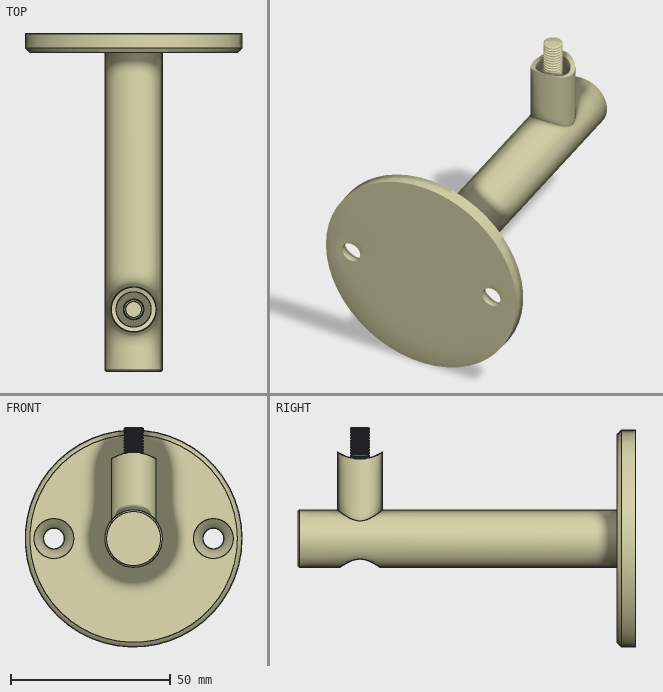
import cadquery as cq


PLATE_DIAMETER = 68.0
PLATE_THICKNESS = 5.9
PLATE_CHAMFER = 1.5
MOUNT_HOLE_SPACING = 50.0
MOUNT_HOLE_DIAMETER = 6.5
COUNTERSINK_DIAMETER = 12.5
COUNTERSINK_LIP = 1.0

REACH = 106.0
BAR_DIAMETER = 18.0
BAR_END_CHAMFER = 0.5
POST_SEAT_DIAMETER = 14.2
ACCESS_HOLE_DIAMETER = 12.5

POST_Y = -86.5
POST_DIAMETER = 14.0
POST_BORE_DIAMETER = 11.0
POST_BOTTOM_Z = 0.0
SADDLE_DIAMETER = 25.4
SADDLE_BOTTOM_Z = 25.0

SHANK_DIAMETER = 6.5
THREAD_DIAMETER = 6.0
THREAD_ROOT_DIAMETER = 5.0
STUD_TOP_Z = 34.9
THREAD_PITCH = 1.0
THREAD_COUNT = 25
THREAD_CREST = 0.3

thread_flank = (THREAD_PITCH - THREAD_CREST) / 2
post_bore_floor_z = STUD_TOP_Z - THREAD_COUNT * THREAD_PITCH


def y_cylinder(diameter, y_start, y_end):
    """Cylinder on the bar axis, running toward -Y."""
    return (
        cq.Workplane("XZ", origin=(0, y_start, 0))
        .circle(diameter / 2)
        .extrude(y_start - y_end)
    )


def post_cylinder(diameter, z_bottom, z_top):
    """Cylinder along Z on the post axis."""
    return (
        cq.Workplane("XY", origin=(0, POST_Y, z_bottom))
        .circle(diameter / 2)
        .extrude(z_top - z_bottom)
    )


def mount_hole(x):
    """Countersunk screw hole, cut from the front face of the plate to its back."""
    front_y = -PLATE_THICKNESS
    hole_radius = MOUNT_HOLE_DIAMETER / 2
    sink_radius = COUNTERSINK_DIAMETER / 2
    cone_front_y = front_y + COUNTERSINK_LIP
    cone_back_y = cone_front_y + sink_radius - hole_radius
    return (
        cq.Workplane("XY")
        .moveTo(0, front_y)
        .lineTo(sink_radius, front_y)
        .lineTo(sink_radius, cone_front_y)
        .lineTo(hole_radius, cone_back_y)
        .lineTo(hole_radius, 0)
        .lineTo(0, 0)
        .close()
        .revolve(360, (0, 0), (0, 1))
        .translate((x, 0, 0))
    )


def make_plate():
    plate = y_cylinder(PLATE_DIAMETER, 0, -PLATE_THICKNESS)
    plate = plate.faces("<Y").chamfer(PLATE_CHAMFER)
    for side in (-1, 1):
        plate = plate.cut(mount_hole(side * MOUNT_HOLE_SPACING / 2))
    return plate


def make_bar():
    bar = y_cylinder(BAR_DIAMETER, -PLATE_THICKNESS, -REACH)
    bar = bar.faces("<Y").chamfer(BAR_END_CHAMFER)
    post_seat = post_cylinder(POST_SEAT_DIAMETER, POST_BOTTOM_Z, BAR_DIAMETER)
    access_hole = post_cylinder(ACCESS_HOLE_DIAMETER, -BAR_DIAMETER, POST_BOTTOM_Z)
    return bar.cut(post_seat).cut(access_hole)


def make_post():
    post = post_cylinder(POST_DIAMETER, POST_BOTTOM_Z, STUD_TOP_Z)
    bore = post_cylinder(POST_BORE_DIAMETER, post_bore_floor_z, STUD_TOP_Z)
    stud_hole = post_cylinder(SHANK_DIAMETER, POST_BOTTOM_Z, post_bore_floor_z)
    saddle_radius = SADDLE_DIAMETER / 2
    saddle = (
        cq.Workplane("YZ", origin=(-POST_DIAMETER, 0, 0))
        .center(POST_Y, SADDLE_BOTTOM_Z + saddle_radius)
        .circle(saddle_radius)
        .extrude(2 * POST_DIAMETER)
    )
    return post.cut(bore).cut(stud_hole).cut(saddle)


def make_stud():
    """Plain shank flush with the post floor, with ring-shaped threads above it."""
    shank_radius = SHANK_DIAMETER / 2
    crest_radius = THREAD_DIAMETER / 2
    root_radius = THREAD_ROOT_DIAMETER / 2
    outline = (
        cq.Workplane("XZ")
        .moveTo(0, POST_BOTTOM_Z)
        .lineTo(shank_radius, POST_BOTTOM_Z)
        .lineTo(shank_radius, post_bore_floor_z)
        .lineTo(root_radius, post_bore_floor_z)
    )
    for turn in range(THREAD_COUNT):
        root_z = post_bore_floor_z + turn * THREAD_PITCH
        crest_z = root_z + thread_flank
        outline = outline.lineTo(crest_radius, crest_z)
        outline = outline.lineTo(crest_radius, crest_z + THREAD_CREST)
        outline = outline.lineTo(root_radius, root_z + THREAD_PITCH)
    return (
        outline.lineTo(0, STUD_TOP_Z)
        .close()
        .revolve(360, (0, 0), (0, 1))
        .translate((0, POST_Y, 0))
    )


plate = make_plate()
bar = make_bar()
post = make_post()
stud = make_stud()

result = cq.Compound.makeCompound([plate.val(), bar.val(), post.val(), stud.val()])